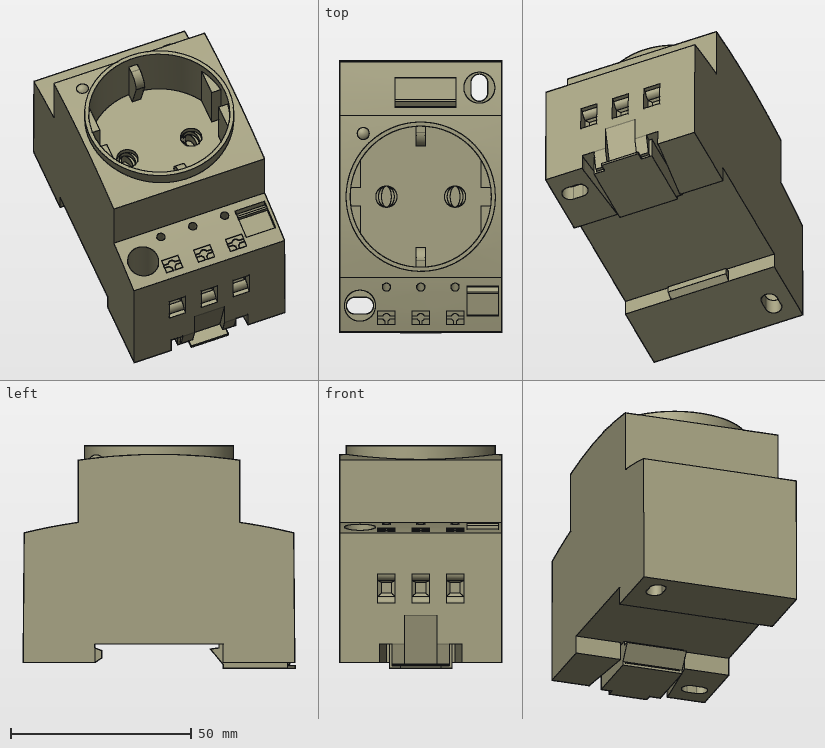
import cadquery as cq
import math


WIDTH = 45.0
HALF_LENGTH_BOTTOM = 37.7
HALF_LENGTH_TOP = 37.4
HUB_HALF_LENGTH = 22.4
CROWN_RADIUS = 157
SHOULDER_CROWN_Z = 40.45
HUB_CROWN_Z = 57.7

RAIL_HALF_LENGTH = 17.75
RAIL_DEPTH = 5.1
HOOK_LENGTH = 1.9
HOOK_WALL_Z = 4.1
HOOK_TIP_TOP_Z = 3.3
HOOK_TIP_BOTTOM_Z = 1.2

RIM_Z = 60.1
RIM_RADIUS = 20.7
WELL_RADIUS = 19.55
WELL_FLOOR_Z = 42.6
GUIDE_FACE_X = 16.7
GUIDE_GAP = 5.1
GUIDE_TOP_Z = 57.4
CONTACT_WIDTH = 2.6
CONTACT_TOP_Z = 56.4
CONTACT_NOSE_Y = 14.05
CONTACT_NOSE_RADIUS = 3.7
CONTACT_FOOT_Y = 16.9

PIN_OFFSET = 9.5
PIN_RADIUS = 2.95
PIN_STEPS = [(2.2, 3), (1.35, 6.05)]
PIN_MOUTH_DEPTH = 1.5

DOME_X = -15.9
DOME_Y = 17.35
DOME_RADIUS = 1.65
DOME_HEIGHT = 0.8

REAR_MOUNT = (16.2, 30.2)
FRONT_MOUNT = (-16.8, -30.2)
MOUNT_BORE_RADIUS = 4.3
MOUNT_SLOT_LENGTH = 7.5
MOUNT_SLOT_WIDTH = 4.6

TERMINAL_PITCH = 9.5
TERMINAL_WIDTH = 4.8
TEST_HOLE_Y = -25.05
TEST_HOLE_RADIUS = 1.1
TEST_HOLE_DEPTH = 15.1
SCREW_Y_BACK = -31.7
SCREW_Y_FRONT = -35.4
SCREW_SLOT_Y = -33.4
SCREW_SLOT_WIDTH = 0.8
SCREW_HUB_RADIUS = 1.05
SCREW_RECESS = 0.15
SCREW_SLOT_DEPTH = 0.45
ENTRY_BOTTOM_Z = 16.45
ENTRY_TOP_Z = 24.5
ENTRY_LEDGE = 1.2
ENTRY_ROUND = 1.8
ENTRY_END_WIDTH = 2.8
ENTRY_END_HEIGHT = 3
ENTRY_FUNNEL = 0.75
ENTRY_END_RISE = 0.2

LABEL_INNER_Y = 24.75
LABEL_NOTCH_Y = 25.0
LABEL_RIDGE_Y = 26.35
LABEL_PANEL_Y = 26.9
LABEL_OUTER_Y = 33.05
LABEL_EDGE_SLOPE = 0.2
LABEL_DEPTH = 1.2
LABEL_NOTCH_DEPTH = 1.5
LABEL_RIDGE_DEPTH = 0.2
FRONT_LABEL_X = (12.75, 21.5)
REAR_LABEL_X = (-7.2, 9.8)

CHANNEL_MOUTH_WIDTH = 22.8
CHANNEL_INNER_WIDTH = 18.9
CHANNEL_STRAIGHT = 1.1
TONGUE_WIDTH = 15.85
TONGUE_BOTTOM_Z = -0.5
GRIP_WIDTH = 8.9
GRIP_TOP_Z = 13.05
GRIP_ANGLE = 14
LATCH_WIDTH = 17.4
LATCH_FRONT_Y = -35.6
LATCH_BOTTOM_Z = -1.6
LATCH_PLATE = 0.75
LATCH_SHOULDER_Y = -16.6
LATCH_TIP_Y = -14.2
LATCH_TIP_Z = 3.8
LATCH_LIP_WIDTH = 11.1
LATCH_LIP_Y = -37.8

FAR = 150.95


def crown_z(crown, y):
    """Height at y of a cylindrical top face whose highest line is at z = crown."""
    return crown - CROWN_RADIUS + math.sqrt(CROWN_RADIUS**2 - y**2)


def end_y(z):
    """Distance of the drafted end faces from the middle plane at height z."""
    draft = HALF_LENGTH_BOTTOM - HALF_LENGTH_TOP
    return HALF_LENGTH_BOTTOM - draft * z / crown_z(SHOULDER_CROWN_Z, HALF_LENGTH_TOP)


def box(x0, x1, y0, y1, z0, z1):
    return cq.Workplane("XY").box(x1 - x0, y1 - y0, z1 - z0, centered=False).translate((x0, y0, z0))


def side_prism(points, width):
    """Extrude a closed (y, z) outline symmetrically along X."""
    return cq.Workplane("YZ").polyline(points).close().extrude(width / 2, both=True)


def below_shoulder(depth):
    """Everything below the shoulder surface lowered by depth."""
    centre_z = SHOULDER_CROWN_Z - CROWN_RADIUS
    return cq.Workplane("YZ").center(0, centre_z).circle(CROWN_RADIUS - depth).extrude(WIDTH, both=True)


def sink(tool, depth):
    """Trim an upright cutting tool so that it reaches only depth below the shoulder surface."""
    return tool.cut(below_shoulder(depth))


def make_housing():
    shoulder_z = crown_z(SHOULDER_CROWN_Z, HALF_LENGTH_TOP)
    step_z = crown_z(SHOULDER_CROWN_Z, HUB_HALF_LENGTH)
    hub_z = crown_z(HUB_CROWN_Z, HUB_HALF_LENGTH)
    mid_y = (HALF_LENGTH_TOP + HUB_HALF_LENGTH) / 2
    mid_z = crown_z(SHOULDER_CROWN_Z, mid_y)
    profile = (
        cq.Workplane("YZ")
        .moveTo(-HALF_LENGTH_BOTTOM, 0)
        .lineTo(-HALF_LENGTH_TOP, shoulder_z)
        .threePointArc((-mid_y, mid_z), (-HUB_HALF_LENGTH, step_z))
        .lineTo(-HUB_HALF_LENGTH, hub_z)
        .threePointArc((0, HUB_CROWN_Z), (HUB_HALF_LENGTH, hub_z))
        .lineTo(HUB_HALF_LENGTH, step_z)
        .threePointArc((mid_y, mid_z), (HALF_LENGTH_TOP, shoulder_z))
        .lineTo(HALF_LENGTH_BOTTOM, 0)
        .lineTo(RAIL_HALF_LENGTH, 0)
        .lineTo(RAIL_HALF_LENGTH, RAIL_DEPTH)
        .lineTo(-RAIL_HALF_LENGTH, RAIL_DEPTH)
        .lineTo(-RAIL_HALF_LENGTH, 0)
        .close()
    )
    return profile.extrude(WIDTH / 2, both=True)


def make_hook():
    tip_y = RAIL_HALF_LENGTH - HOOK_LENGTH
    outline = [
        (RAIL_HALF_LENGTH, 0),
        (tip_y, HOOK_TIP_BOTTOM_Z),
        (tip_y, HOOK_TIP_TOP_Z),
        (RAIL_HALF_LENGTH, HOOK_WALL_Z),
    ]
    return side_prism(outline, LATCH_WIDTH)


def make_rim():
    return cq.Workplane("XY").workplane(offset=WELL_FLOOR_Z).circle(RIM_RADIUS).extrude(RIM_Z - WELL_FLOOR_Z)


def make_well():
    """Empty space of the plug well: a bore without its guide ribs and earth contacts."""
    well = cq.Workplane("XY").workplane(offset=WELL_FLOOR_Z).circle(WELL_RADIUS).extrude(RIM_Z - WELL_FLOOR_Z)
    nose_z = CONTACT_TOP_Z - CONTACT_NOSE_RADIUS
    arc_y = CONTACT_NOSE_Y + CONTACT_NOSE_RADIUS
    diagonal = CONTACT_NOSE_RADIUS * math.sqrt(0.5)
    contact = (
        cq.Workplane("YZ")
        .moveTo(RIM_RADIUS, WELL_FLOOR_Z)
        .lineTo(RIM_RADIUS, CONTACT_TOP_Z)
        .lineTo(arc_y, CONTACT_TOP_Z)
        .threePointArc((arc_y - diagonal, nose_z + diagonal), (CONTACT_NOSE_Y, nose_z))
        .lineTo(CONTACT_FOOT_Y, WELL_FLOOR_Z)
        .close()
        .extrude(CONTACT_WIDTH / 2, both=True)
    )
    guide = box(GUIDE_FACE_X, RIM_RADIUS, GUIDE_GAP / 2, RIM_RADIUS, WELL_FLOOR_Z, GUIDE_TOP_Z)
    guide_pair = guide.union(guide.mirror("XZ"))
    for fitting in (contact, contact.mirror("XZ"), guide_pair, guide_pair.mirror("YZ")):
        well = well.cut(fitting)
    return well


def make_pin_hole(x):
    """Round mouth that narrows along X in steps."""
    floor = cq.Workplane("XY").workplane(offset=WELL_FLOOR_Z).center(x, 0)
    hole = floor.circle(PIN_RADIUS).extrude(-PIN_MOUTH_DEPTH)
    for half_width, depth in PIN_STEPS:
        hole = hole.union(floor.ellipse(half_width, PIN_RADIUS).extrude(-depth))
    return hole


def make_dome():
    radius = (DOME_RADIUS**2 + DOME_HEIGHT**2) / (2 * DOME_HEIGHT)
    top_z = crown_z(HUB_CROWN_Z, DOME_Y) + DOME_HEIGHT
    return cq.Workplane("XY").sphere(radius).translate((DOME_X, DOME_Y, top_z - radius))


def make_mount_hole(centre, angle):
    """Counterbore down to the rail level with a slot through the remaining floor."""
    base = cq.Workplane("XY").center(*centre)
    bore = base.workplane(offset=RAIL_DEPTH).circle(MOUNT_BORE_RADIUS).extrude(FAR)
    slot = base.slot2D(MOUNT_SLOT_LENGTH, MOUNT_SLOT_WIDTH, angle).extrude(RAIL_DEPTH)
    return bore.union(slot)


def make_test_hole(x):
    """Round blind hole drilled square to the curved shoulder."""
    lean = math.asin(-TEST_HOLE_Y / CROWN_RADIUS)
    axis = cq.Vector(0, -math.sin(lean), math.cos(lean))
    mouth = cq.Vector(x, TEST_HOLE_Y, crown_z(SHOULDER_CROWN_Z, TEST_HOLE_Y))
    bottom = mouth - axis * TEST_HOLE_DEPTH
    hole = cq.Solid.makeCylinder(TEST_HOLE_RADIUS, TEST_HOLE_DEPTH + TEST_HOLE_RADIUS, bottom, axis)
    return cq.Workplane(hole)


def make_clamp_screw(x):
    """Shallow rectangular recess with a T-shaped driver slot in its floor."""
    half_width = TERMINAL_WIDTH / 2
    half_slot = SCREW_SLOT_WIDTH / 2
    recess = box(x - half_width, x + half_width, SCREW_Y_FRONT, SCREW_Y_BACK, 0, FAR)
    cross = box(x - half_width, x + half_width, SCREW_SLOT_Y - half_slot, SCREW_SLOT_Y + half_slot, 0, FAR)
    stem = box(x - half_slot, x + half_slot, SCREW_Y_FRONT, SCREW_SLOT_Y, 0, FAR)
    hub = cq.Workplane("XY").center(x, SCREW_SLOT_Y).circle(SCREW_HUB_RADIUS).extrude(FAR)
    slots = cross.union(stem).union(hub)
    return sink(recess, SCREW_RECESS).union(sink(slots, SCREW_SLOT_DEPTH))


def make_wire_entry(x):
    """Rectangular opening, rounded throat, then a funnel ending in a flat."""
    mid_z = (ENTRY_BOTTOM_Z + ENTRY_TOP_Z) / 2
    ledge_y = ENTRY_LEDGE - end_y(mid_z)
    throat_y = ledge_y + ENTRY_ROUND
    diagonal = ENTRY_ROUND * math.sqrt(0.5)
    throat_bottom = ENTRY_BOTTOM_Z + ENTRY_ROUND
    throat_top = ENTRY_TOP_Z - ENTRY_ROUND
    opening = (
        cq.Workplane("YZ")
        .moveTo(-FAR, ENTRY_BOTTOM_Z)
        .lineTo(ledge_y, ENTRY_BOTTOM_Z)
        .threePointArc((throat_y - diagonal, ENTRY_BOTTOM_Z + diagonal), (throat_y, throat_bottom))
        .lineTo(throat_y, throat_top)
        .threePointArc((throat_y - diagonal, ENTRY_TOP_Z - diagonal), (ledge_y, ENTRY_TOP_Z))
        .lineTo(-FAR, ENTRY_TOP_Z)
        .close()
        .extrude(TERMINAL_WIDTH / 2, both=True)
        .translate((x, 0, 0))
    )
    funnel = (
        cq.Workplane("XZ", origin=(x, throat_y, mid_z))
        .rect(TERMINAL_WIDTH, throat_top - throat_bottom)
        .workplane(offset=-ENTRY_FUNNEL)
        .center(0, ENTRY_END_RISE)
        .rect(ENTRY_END_WIDTH, ENTRY_END_HEIGHT)
        .loft()
    )
    return opening.union(funnel)


def make_label_window(x_range):
    """Front label window: finger notch and ridge at the inner end, then a sunken panel."""
    x0, x1 = x_range
    floor = [
        (LABEL_INNER_Y, 0),
        (LABEL_NOTCH_Y, LABEL_NOTCH_DEPTH),
        (LABEL_RIDGE_Y, LABEL_RIDGE_DEPTH),
        (LABEL_PANEL_Y, LABEL_RIDGE_DEPTH),
        (LABEL_PANEL_Y, LABEL_DEPTH),
        (LABEL_OUTER_Y - LABEL_EDGE_SLOPE, LABEL_DEPTH),
        (LABEL_OUTER_Y, 0),
    ]
    outline = [(-y, crown_z(SHOULDER_CROWN_Z, y) - depth) for y, depth in floor]
    outline += [(-LABEL_OUTER_Y, SHOULDER_CROWN_Z), (-LABEL_INNER_Y, SHOULDER_CROWN_Z)]
    return cq.Workplane("YZ", origin=(x0, 0, 0)).polyline(outline).close().extrude(x1 - x0)


def make_latch_channel():
    """Channel from the front face to the rail slot, narrowing slightly inwards."""
    mouth_y = -HALF_LENGTH_BOTTOM
    straight_y = mouth_y + CHANNEL_STRAIGHT
    half_mouth = CHANNEL_MOUTH_WIDTH / 2
    half_inner = CHANNEL_INNER_WIDTH / 2
    outline = [
        (half_mouth, mouth_y),
        (half_mouth, straight_y),
        (half_inner, -RAIL_HALF_LENGTH),
        (-half_inner, -RAIL_HALF_LENGTH),
        (-half_mouth, straight_y),
        (-half_mouth, mouth_y),
    ]
    return cq.Workplane("XY").polyline(outline).close().extrude(RAIL_DEPTH)


def grip_y(top_z, z):
    """Position at height z of a face that slopes inwards from the front face at top_z."""
    return -end_y(top_z) + (top_z - z) * math.tan(math.radians(GRIP_ANGLE))


def make_tongue():
    outline = [
        (grip_y(RAIL_DEPTH, RAIL_DEPTH), RAIL_DEPTH),
        (grip_y(RAIL_DEPTH, TONGUE_BOTTOM_Z), TONGUE_BOTTOM_Z),
        (-RAIL_HALF_LENGTH, TONGUE_BOTTOM_Z),
        (-RAIL_HALF_LENGTH, RAIL_DEPTH),
    ]
    return side_prism(outline, TONGUE_WIDTH)


def make_grip_recess():
    """Sloping recess for a screwdriver above the lip of the latch."""
    outline = [
        (grip_y(GRIP_TOP_Z, GRIP_TOP_Z), GRIP_TOP_Z),
        (grip_y(GRIP_TOP_Z, TONGUE_BOTTOM_Z), TONGUE_BOTTOM_Z),
        (-FAR, TONGUE_BOTTOM_Z),
        (-FAR, GRIP_TOP_Z),
    ]
    return side_prism(outline, GRIP_WIDTH)


def make_latch():
    """U-shaped slider around the tongue, with a catch for the rail and a pull-out lip."""
    plate_top_z = LATCH_BOTTOM_Z + LATCH_PLATE
    half_width = LATCH_WIDTH / 2
    half_tongue = TONGUE_WIDTH / 2
    half_lip = LATCH_LIP_WIDTH / 2
    slider = box(-half_width, half_width, LATCH_FRONT_Y, -RAIL_HALF_LENGTH, LATCH_BOTTOM_Z, RAIL_DEPTH)
    slider = slider.cut(box(-half_tongue, half_tongue, -FAR, FAR, plate_top_z, RAIL_DEPTH))
    lip = box(-half_lip, half_lip, LATCH_LIP_Y, LATCH_FRONT_Y, LATCH_BOTTOM_Z, plate_top_z)
    catch_outline = [
        (-RAIL_HALF_LENGTH, TONGUE_BOTTOM_Z),
        (LATCH_TIP_Y, LATCH_TIP_Z),
        (LATCH_SHOULDER_Y, HOOK_WALL_Z),
        (LATCH_SHOULDER_Y, RAIL_DEPTH),
        (-RAIL_HALF_LENGTH, RAIL_DEPTH),
    ]
    return slider.union(lip).union(side_prism(catch_outline, LATCH_WIDTH))


result = make_housing().union(make_hook()).union(make_rim()).union(make_dome())
result = result.cut(make_well())
for pin_x in (-PIN_OFFSET, PIN_OFFSET):
    result = result.cut(make_pin_hole(pin_x))

result = result.cut(make_mount_hole(REAR_MOUNT, 90))
result = result.cut(make_mount_hole(FRONT_MOUNT, 0))

for terminal_x in (-TERMINAL_PITCH, 0, TERMINAL_PITCH):
    result = result.cut(make_test_hole(terminal_x))
    result = result.cut(make_clamp_screw(terminal_x))
    result = result.cut(make_wire_entry(terminal_x))

result = result.cut(make_label_window(FRONT_LABEL_X))
result = result.cut(make_label_window(REAR_LABEL_X).mirror("XZ"))

result = result.cut(make_latch_channel()).union(make_tongue()).cut(make_grip_recess())
result = result.union(make_latch())